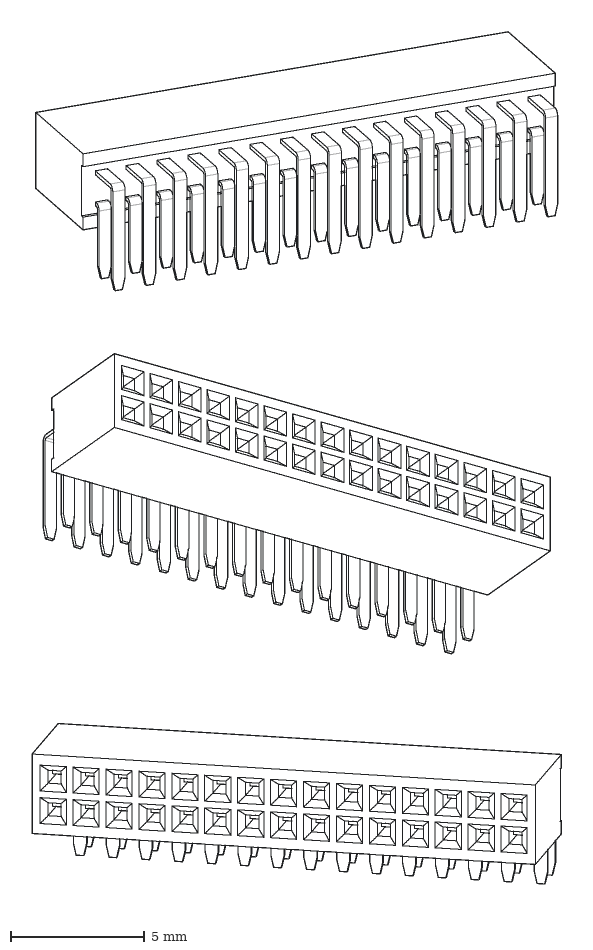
import cadquery as cq

length = 19.4
depth = 4.4
height = 3.1

columns = 15
rows = 2
end_margin = 0.81
pitch = (length - 2 * end_margin) / (columns - 1)

groove_depth = 0.14
groove_rim = 0.52
groove_height = height - 2 * groove_rim

funnel_mouth = 1.0
funnel_depth = 0.25
hole_width = 0.5
hole_depth = 1.55

strip_thickness = 0.15
strip_width = hole_width
bend_radius_inner = 0.08
bend_radius_outer = bend_radius_inner + strip_thickness
back_reach = 5.9
leg_drop = 2.02
tip_length = 0.47
tip_width = 0.3
contact_front = 0.97

column_positions = [(i - (columns - 1) / 2) * pitch for i in range(columns)]
row_heights = [height / 2 + (j - (rows - 1) / 2) * pitch for j in range(rows)]


def box_between(x_start, x_end, width, z_bottom, z_top):
    """Box centred on Y = 0, spanning the given X and Z ranges."""
    box = cq.Workplane("XY").box(x_end - x_start, width, z_top - z_bottom, centered=(False, True, False))
    return box.translate((x_start, 0, z_bottom))


def make_housing():
    block = box_between(0, depth, length, 0, height)
    groove = box_between(depth - groove_depth, depth, length, groove_rim, groove_rim + groove_height)
    return block.cut(groove)


def make_socket(z_center):
    """Cutting body for one socket, on the plane Y = 0."""
    funnel = (
        cq.Workplane("YZ", origin=(0, 0, z_center))
        .rect(funnel_mouth, funnel_mouth)
        .workplane(offset=funnel_depth)
        .rect(hole_width, hole_width)
        .loft(ruled=True)
    )
    hole = (
        cq.Workplane("YZ", origin=(0, 0, z_center))
        .workplane(offset=funnel_depth)
        .rect(hole_width, hole_width)
        .extrude(hole_depth - funnel_depth)
    )
    return funnel.union(hole)


def make_contact(z_center, x_outer):
    """L-shaped contact with a tapered tip, on the plane Y = 0."""
    z_top = z_center + strip_thickness / 2
    z_under = z_center - strip_thickness / 2
    x_inner = x_outer - strip_thickness
    bent_strip = (
        cq.Workplane("XZ")
        .moveTo(contact_front, z_top)
        .lineTo(x_outer - bend_radius_outer, z_top)
        .radiusArc((x_outer, z_top - bend_radius_outer), bend_radius_outer)
        .lineTo(x_outer, -leg_drop)
        .lineTo(x_inner, -leg_drop)
        .lineTo(x_inner, z_under - bend_radius_inner)
        .radiusArc((x_inner - bend_radius_inner, z_under), -bend_radius_inner)
        .lineTo(contact_front, z_under)
        .close()
        .extrude(strip_width / 2, both=True)
    )
    leg_outline = (
        cq.Workplane("YZ")
        .moveTo(-strip_width / 2, z_top)
        .lineTo(-strip_width / 2, tip_length - leg_drop)
        .lineTo(-tip_width / 2, -leg_drop)
        .lineTo(tip_width / 2, -leg_drop)
        .lineTo(strip_width / 2, tip_length - leg_drop)
        .lineTo(strip_width / 2, z_top)
        .close()
        .extrude(x_outer)
    )
    return bent_strip.intersect(leg_outline)


def at_every_column(body):
    """Copies of a body, one on each contact column, joined into one compound."""
    copies = [body.val().translate(cq.Vector(0, y, 0)) for y in column_positions]
    return cq.Workplane(cq.Compound.makeCompound(copies))


result = make_housing()
for row, z_center in enumerate(row_heights):
    x_outer = back_reach - (rows - 1 - row) * pitch
    result = result.cut(at_every_column(make_socket(z_center)))
    result = result.union(at_every_column(make_contact(z_center, x_outer)))